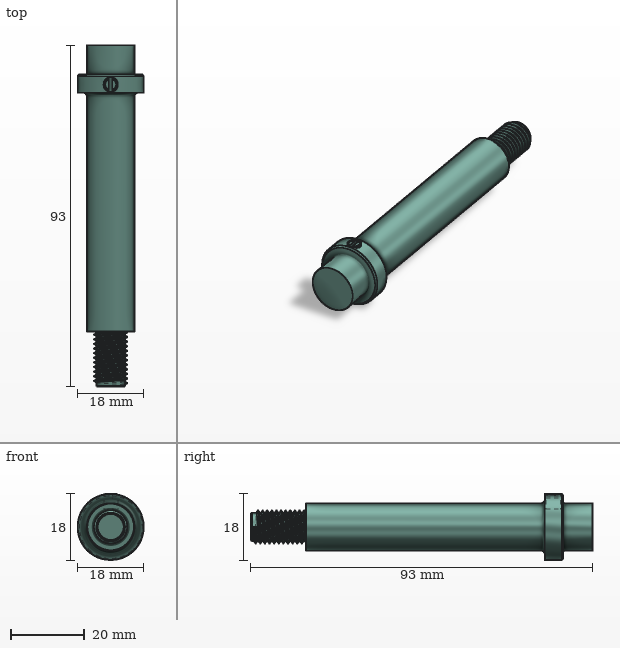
import cadquery as cq
import math

TOTAL_LENGTH = 93.0
SPIGOT_LENGTH = 8.0
FLANGE_WIDTH = 5.0
THREAD_LENGTH = 15.0

SHAFT_RADIUS = 6.5
FLANGE_RADIUS = 9.0
CORE_RADIUS = 3.9

FLANGE_CHAMFER = 0.5
FLANGE_FILLET = 0.9
SPIGOT_FILLET = 0.2
SHAFT_CHAMFER = 0.2
CORE_CHAMFER = 0.4

THREAD_PITCH = 1.26
THREAD_TURNS = 11.5
RIDGE_HEIGHT = 0.65
RIDGE_BASE = 0.9
RIDGE_OVERLAP = 0.1
THREAD_END_GAP = 1.0

SCREW_RADIUS = 1.95
SCREW_LENGTH = 4.0
SCREW_CHAMFER = 0.5
SLOT_WIDTH = 0.9
SLOT_DEPTH = 1.0

BACK_END = TOTAL_LENGTH / 2
FLANGE_BACK = BACK_END - SPIGOT_LENGTH
FLANGE_FRONT = FLANGE_BACK - FLANGE_WIDTH
FRONT_END = -TOTAL_LENGTH / 2
SHAFT_FRONT = FRONT_END + THREAD_LENGTH
SCREW_Y = (FLANGE_BACK - FLANGE_CHAMFER + FLANGE_FRONT) / 2
SCREW_TOP = FLANGE_RADIUS
SCREW_BOTTOM = SCREW_TOP - SCREW_LENGTH


def make_turned_pin():
    """Half section in the XY plane, revolved about the Y axis."""
    mid_arc_share = 1 - math.sqrt(0.5)
    spigot_sag = SPIGOT_FILLET * mid_arc_share
    flange_sag = FLANGE_FILLET * mid_arc_share
    return (
        cq.Workplane("XY")
        .moveTo(0, BACK_END)
        .lineTo(SHAFT_RADIUS, BACK_END)
        .lineTo(SHAFT_RADIUS, FLANGE_BACK + SPIGOT_FILLET)
        .threePointArc(
            (SHAFT_RADIUS + spigot_sag, FLANGE_BACK + spigot_sag),
            (SHAFT_RADIUS + SPIGOT_FILLET, FLANGE_BACK),
        )
        .lineTo(FLANGE_RADIUS - FLANGE_CHAMFER, FLANGE_BACK)
        .lineTo(FLANGE_RADIUS, FLANGE_BACK - FLANGE_CHAMFER)
        .lineTo(FLANGE_RADIUS, FLANGE_FRONT)
        .lineTo(SHAFT_RADIUS + FLANGE_FILLET, FLANGE_FRONT)
        .threePointArc(
            (SHAFT_RADIUS + flange_sag, FLANGE_FRONT - flange_sag),
            (SHAFT_RADIUS, FLANGE_FRONT - FLANGE_FILLET),
        )
        .lineTo(SHAFT_RADIUS, SHAFT_FRONT + SHAFT_CHAMFER)
        .lineTo(SHAFT_RADIUS - SHAFT_CHAMFER, SHAFT_FRONT)
        .lineTo(CORE_RADIUS, SHAFT_FRONT)
        .lineTo(CORE_RADIUS, FRONT_END + CORE_CHAMFER)
        .lineTo(CORE_RADIUS - CORE_CHAMFER, FRONT_END)
        .lineTo(0, FRONT_END)
        .close()
        .revolve(360, (0, 0, 0), (0, 1, 0))
    )


def make_thread_ridge():
    """Triangular ridge wound round the core, its foot sunk slightly into the core.

    The helix starts on the +X side near the front end and winds back into the shaft.
    """
    root = CORE_RADIUS - RIDGE_OVERLAP
    crest = CORE_RADIUS + RIDGE_HEIGHT
    half_foot = RIDGE_BASE / 2
    helix = cq.Wire.makeHelix(THREAD_PITCH, THREAD_TURNS * THREAD_PITCH, root)
    ridge = (
        cq.Workplane("XZ")
        .polyline([(root, -half_foot), (crest, 0), (root, half_foot)])
        .close()
        .sweep(cq.Workplane(obj=helix), isFrenet=True)
    )
    return ridge.rotate((0, 0, 0), (1, 0, 0), -90).translate((0, FRONT_END + THREAD_END_GAP, 0))


def make_screw_hole():
    """Blind hole for the set screw, open at the flange rim."""
    hole_floor = cq.Workplane("XY", origin=(0, SCREW_Y, SCREW_BOTTOM))
    return hole_floor.circle(SCREW_RADIUS).extrude(SCREW_LENGTH)


def make_pin():
    return make_turned_pin().union(make_thread_ridge()).cut(make_screw_hole())


def make_set_screw():
    screw = (
        cq.Workplane("XY", origin=(0, SCREW_Y, SCREW_BOTTOM))
        .circle(SCREW_RADIUS)
        .extrude(SCREW_LENGTH)
        .faces(">Z")
        .chamfer(SCREW_CHAMFER)
    )
    slot = cq.Workplane("XY", origin=(0, SCREW_Y, SCREW_TOP - SLOT_DEPTH)).box(
        SLOT_WIDTH, 2 * SCREW_RADIUS, SLOT_DEPTH, centered=(True, True, False)
    )
    return screw.cut(slot)


pin = make_pin()
set_screw = make_set_screw()

result = cq.Compound.makeCompound([pin.val(), set_screw.val()])